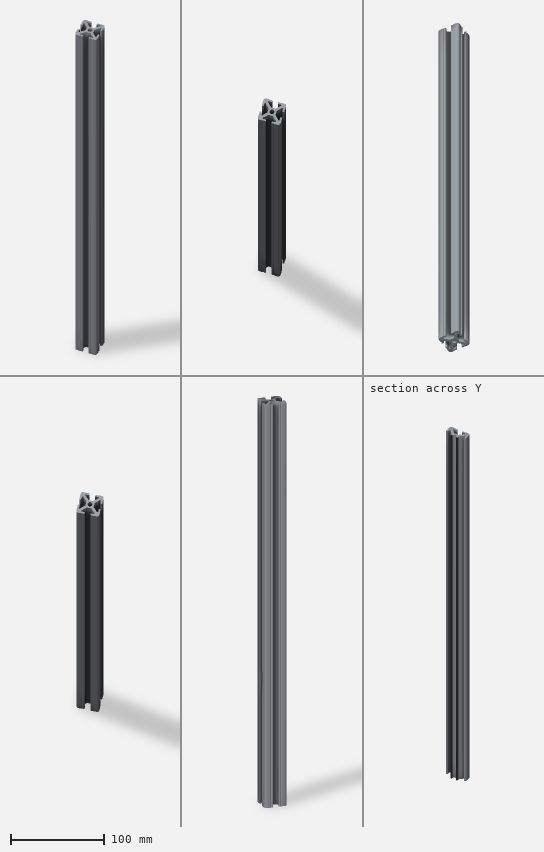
import cadquery as cq
import math

length = 457.0
length_to_width = 18
width = length / length_to_width
corner_radius = 2.7
nose_radius = 1.0
groove_setback = 2.45
groove_width = 1.5
groove_depth = 0.55
half_opening = 3.25
lip_thickness = 2.2
half_inner = 7.5
half_core = 4.5
web_thickness = 3.0
wall_base = 8.5
pocket_radius = 0.5
bore_radius = 2.6

half_width = width / 2
web_offset = web_thickness / math.sqrt(2)
groove_position = half_opening + groove_setback


def slot_cutter():
    """Return the T-slot of the +Y side, narrowing between the webs to the core."""
    lip_inner = half_width - lip_thickness
    slot = (
        cq.Workplane("XY")
        .moveTo(-half_opening - nose_radius, half_width)
        .radiusArc((-half_opening, half_width - nose_radius), nose_radius)
        .lineTo(-half_opening, lip_inner)
        .lineTo(-half_inner, lip_inner)
        .lineTo(-half_inner, wall_base)
        .lineTo(-(wall_base - web_offset), wall_base)
        .lineTo(-(half_core - web_offset), half_core)
        .lineTo(half_core - web_offset, half_core)
        .lineTo(wall_base - web_offset, wall_base)
        .lineTo(half_inner, wall_base)
        .lineTo(half_inner, lip_inner)
        .lineTo(half_opening, lip_inner)
        .lineTo(half_opening, half_width - nose_radius)
        .radiusArc((half_opening + nose_radius, half_width), nose_radius)
        .close()
        .extrude(length)
    )
    for x in (-half_inner, half_inner):
        slot = slot.edges(cq.NearestToPointSelector((x, wall_base, length / 2))).fillet(pocket_radius)
    return slot


def groove_cutter(center):
    """Return a V-groove in the +Y face, centered at the given X."""
    return (
        cq.Workplane("XY")
        .moveTo(center - groove_width / 2, half_width)
        .lineTo(center, half_width - groove_depth)
        .lineTo(center + groove_width / 2, half_width)
        .close()
        .extrude(length)
    )


bar = cq.Workplane("XY").rect(width, width).extrude(length)
bar = bar.edges("|Z").fillet(corner_radius)

side_cutters = [
    slot_cutter(),
    groove_cutter(-groove_position),
    groove_cutter(groove_position),
]
for side in range(4):
    for cutter in side_cutters:
        bar = bar.cut(cutter.rotate((0, 0, 0), (0, 0, 1), 90 * side))

bore = cq.Workplane("XY").circle(bore_radius).extrude(length)
result = bar.cut(bore)